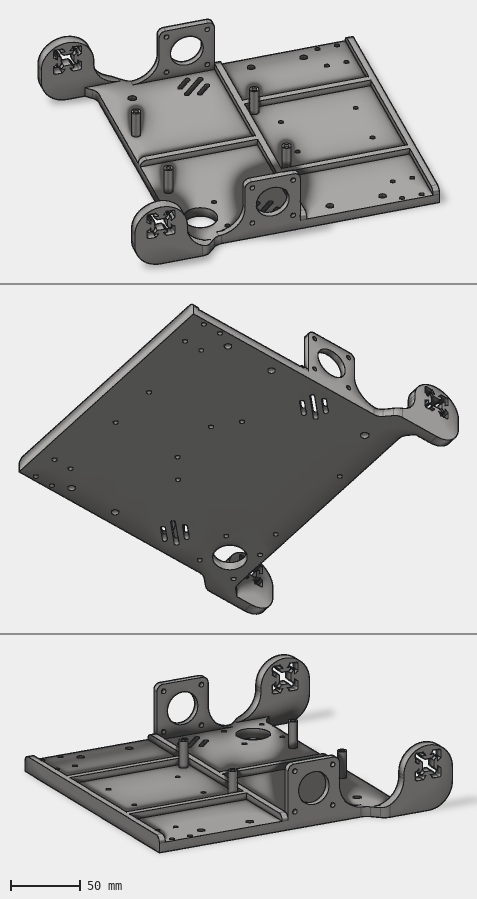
import cadquery as cq
import math


diagonal = math.sqrt(0.5)

total_length = 235.0
total_width = 225.0
total_height = 50.0

plate_width = 204.0
plate_length = 194.8
plate_thickness = 7.5

rib_width = 5.0
rib_height = 5.0
cross_rib_front = 105.8
long_rib_offset = 45.1

flange_size = 42.0
flange_thickness = 5.0
flange_corner_radius = 5.0
flange_foot_radius = 20.0
flange_middle_y = -cross_rib_front - flange_size / 2

motor_bore = 25.0
motor_hole_spacing = 31.0
screw_hole = 3.5
plate_motor_x = 76.4
plate_motor_y = -173.5

ear_thickness = 8.0
ear_radius = 20.0
ear_inner_x = total_width / 2 - ear_thickness
ear_middle_y = ear_radius - total_length
ear_rear_y = ear_middle_y + ear_radius
ear_back_y = ear_rear_y + ear_radius
ear_top_center_z = total_height - ear_radius
ear_foot_center_z = plate_thickness + ear_radius

flare_radius = 9.0
flare_start_y = -165.7
gusset_depth = 7.0
gusset_front_y = -plate_length - gusset_depth
half_bend = math.radians(22.5)
arc_run = flare_radius * diagonal
arc_rise = flare_radius * (1 - diagonal)
half_arc_run = flare_radius * math.sin(half_bend)
half_arc_rise = flare_radius * (1 - math.cos(half_bend))

socket_size = 21.2
socket_corner_radius = 1.6
socket_z = 34.8
tongue_mouth_half = 4.0
tongue_neck_half = 1.9
tongue_head_half = 5.0
tongue_tip_half = 2.8
tongue_shoulder = 7.8
tongue_chamfer_start = 6.8
tongue_tip = 4.7

post_diameter = 6.5
post_bore = 3.5
post_top = 27.7
post_x = 37.4
post_rows_y = (-95.2, -185.0)

corner_holes_x = (76.4, 98.2)
corner_holes_y = (-12.5, -27.3)
side_hole = 5.5
side_holes_x = 91.5
side_holes_y = (-40.0, -80.0)
center_holes_x = 19.5
center_holes_y = (-24.0, -80.8)
single_hole = 6.0
single_hole_x = -81.3

slot_width = 3.5
long_slot = 25.0
short_slot = 15.0
slot_pitch = 8.0
slot_group_x = 81.3
slot_angle = -45


def mirrored(shape):
    """Return a shape together with its copy on the other side of the YZ plane."""
    return shape.union(shape.mirror("YZ"))


def square_points(x, y, spacing):
    half = spacing / 2
    return [(x + i * half, y + j * half) for i in (-1, 1) for j in (-1, 1)]


def flared_side():
    """Open outline from the rear middle, along the right edge, to the end of the flare."""
    half_plate = plate_width / 2
    half_total = total_width / 2
    bend_x = half_plate + arc_rise
    bend_y = flare_start_y - arc_run
    flare_slope = half_total - half_plate - 2 * arc_rise
    flare_end_y = bend_y - flare_slope - arc_run
    return (
        cq.Workplane("XY")
        .lineTo(half_plate, 0)
        .lineTo(half_plate, flare_start_y)
        .threePointArc((half_plate + half_arc_rise, flare_start_y - half_arc_run), (bend_x, bend_y))
        .lineTo(bend_x + flare_slope, bend_y - flare_slope)
        .threePointArc((half_total - half_arc_rise, flare_end_y + half_arc_run), (half_total, flare_end_y))
    )


def base_plate():
    """Plate with necks that flare out to the full width and carry the ears."""
    gusset_bend_x = ear_inner_x - (gusset_depth - arc_rise)
    gusset_start_x = gusset_bend_x - arc_run
    right_half = (
        flared_side()
        .lineTo(total_width / 2, gusset_front_y)
        .lineTo(ear_inner_x, gusset_front_y)
        .lineTo(gusset_bend_x, -plate_length - arc_rise)
        .threePointArc(
            (gusset_start_x + half_arc_run, -plate_length - half_arc_rise),
            (gusset_start_x, -plate_length),
        )
        .lineTo(0, -plate_length)
        .close()
        .extrude(plate_thickness)
    )
    return mirrored(right_half)


def rib_across(rear_y):
    """Full-width rib with both upper ends rounded."""
    half = plate_width / 2
    mid = rib_height * diagonal
    return (
        cq.Workplane("XZ", origin=(0, rear_y, plate_thickness))
        .moveTo(-half, 0)
        .threePointArc((rib_height - half - mid, mid), (rib_height - half, rib_height))
        .lineTo(half - rib_height, rib_height)
        .threePointArc((half - rib_height + mid, mid), (half, 0))
        .close()
        .extrude(rib_width)
    )


def rear_rib(x):
    """Rib running from the rear edge to the cross rib."""
    return (
        cq.Workplane("XY", origin=(x, -cross_rib_front / 2, plate_thickness))
        .box(rib_width, cross_rib_front, rib_height, centered=(True, True, False))
    )


def front_rib():
    """Middle rib from the cross rib to the front edge, rounded at its front end."""
    mid = rib_height * diagonal
    return (
        cq.Workplane("YZ", origin=(-rib_width / 2, 0, plate_thickness))
        .moveTo(-plate_length, 0)
        .threePointArc((rib_height - plate_length - mid, mid), (rib_height - plate_length, rib_height))
        .lineTo(-cross_rib_front, rib_height)
        .lineTo(-cross_rib_front, 0)
        .close()
        .extrude(rib_width)
    )


def ribs():
    shape = rib_across(0).union(rib_across(rib_width - cross_rib_front)).union(front_rib())
    for x in (-long_rib_offset, long_rib_offset):
        shape = shape.union(rear_rib(x))
    return shape


def flange():
    """Motor flange on the right edge with a concave foot running down to the plate."""
    rear_y = -cross_rib_front
    front_y = rear_y - flange_size
    top = plate_thickness + flange_size
    round_mid = flange_corner_radius * (1 - diagonal)
    foot_mid = flange_foot_radius * (1 - diagonal)
    middle_z = plate_thickness + flange_size / 2
    body = (
        cq.Workplane("YZ", origin=(plate_width / 2 - flange_thickness, 0, 0))
        .moveTo(rear_y, plate_thickness)
        .lineTo(rear_y, top - flange_corner_radius)
        .threePointArc((rear_y - round_mid, top - round_mid), (rear_y - flange_corner_radius, top))
        .lineTo(front_y + flange_corner_radius, top)
        .threePointArc((front_y + round_mid, top - round_mid), (front_y, top - flange_corner_radius))
        .lineTo(front_y, plate_thickness + flange_foot_radius)
        .threePointArc(
            (front_y - foot_mid, plate_thickness + foot_mid),
            (front_y - flange_foot_radius, plate_thickness),
        )
        .close()
        .extrude(flange_thickness)
    )
    return body.cut(motor_pattern("YZ", flange_middle_y, middle_z))


def motor_pattern(plane, u, v):
    """Cutter for a motor bore with its four screw holes."""
    bore = cq.Workplane(plane).center(u, v).circle(motor_bore / 2)
    screws = cq.Workplane(plane).pushPoints(square_points(u, v, motor_hole_spacing)).circle(screw_hole / 2)
    return bore.extrude(total_width).union(screws.extrude(total_width))


def ear():
    """Rounded ear at the right front corner, trimmed to the flare of the plate."""
    tip_y = -total_length
    mid = ear_radius * diagonal
    body = (
        cq.Workplane("YZ", origin=(ear_inner_x, 0, 0))
        .moveTo(ear_back_y, 0)
        .lineTo(ear_back_y, plate_thickness)
        .threePointArc((ear_back_y - mid, ear_foot_center_z - mid), (ear_rear_y, ear_foot_center_z))
        .lineTo(ear_rear_y, ear_top_center_z)
        .threePointArc((ear_middle_y, total_height), (tip_y, ear_top_center_z))
        .lineTo(tip_y, ear_radius)
        .threePointArc((ear_middle_y - mid, ear_radius - mid), (ear_middle_y, 0))
        .close()
        .extrude(ear_thickness)
    )
    trim = (
        flared_side()
        .lineTo(total_width / 2, -total_length)
        .lineTo(0, -total_length)
        .close()
        .extrude(total_height)
    )
    return body.intersect(trim).cut(profile_socket())


def profile_socket():
    """Cutter shaped like a slotted square extrusion: a square less four inward tongues."""
    half = socket_size / 2
    right_side = [
        (tongue_mouth_half, half),
        (tongue_neck_half, tongue_shoulder),
        (tongue_head_half, tongue_shoulder),
        (tongue_head_half, tongue_chamfer_start),
        (tongue_tip_half, tongue_tip),
    ]
    left_side = [(-u, v) for u, v in reversed(right_side)]
    socket = cq.Workplane("YZ").rect(socket_size, socket_size).extrude(total_width)
    socket = socket.edges("|X").fillet(socket_corner_radius)
    tongue = cq.Workplane("YZ").polyline(right_side + left_side).close().extrude(total_width)
    for turn in range(4):
        socket = socket.cut(tongue.rotate((0, 0, 0), (1, 0, 0), 90 * turn))
    return socket.translate((0, ear_middle_y, socket_z))


def standoffs(diameter, bottom):
    """Cylinders at the four standoff places, from the given level up to the standoff top."""
    points = [(x, y) for x in (-post_x, post_x) for y in post_rows_y]
    start = cq.Workplane("XY", origin=(0, 0, bottom))
    return start.pushPoints(points).circle(diameter / 2).extrude(post_top - bottom)


def plate_holes(points, diameter):
    return cq.Workplane("XY").pushPoints(points).circle(diameter / 2).extrude(plate_thickness)


def mirrored_points(x_values, y_values):
    return [(side * x, y) for side in (-1, 1) for x in x_values for y in y_values]


def diagonal_slots(x):
    """Cutter for one long slot between two short ones."""
    slots = cq.Workplane("XY").slot2D(long_slot, slot_width).extrude(plate_thickness)
    short_places = [(0, -slot_pitch), (0, slot_pitch)]
    short_pair = cq.Workplane("XY").pushPoints(short_places).slot2D(short_slot, slot_width)
    slots = slots.union(short_pair.extrude(plate_thickness))
    return slots.rotate((0, 0, 0), (0, 0, 1), slot_angle).translate((x, flange_middle_y, 0))


result = base_plate().union(ribs()).union(mirrored(flange())).union(mirrored(ear()))
result = result.union(standoffs(post_diameter, plate_thickness))

result = result.cut(standoffs(post_bore, 0))
result = result.cut(motor_pattern("XY", plate_motor_x, plate_motor_y))
result = result.cut(plate_holes(mirrored_points(corner_holes_x, corner_holes_y), screw_hole))
result = result.cut(plate_holes(mirrored_points([side_holes_x], side_holes_y), side_hole))
result = result.cut(plate_holes(mirrored_points([center_holes_x], center_holes_y), screw_hole))
result = result.cut(plate_holes([(single_hole_x, plate_motor_y)], single_hole))
for group_x in (-slot_group_x, slot_group_x):
    result = result.cut(diagonal_slots(group_x))